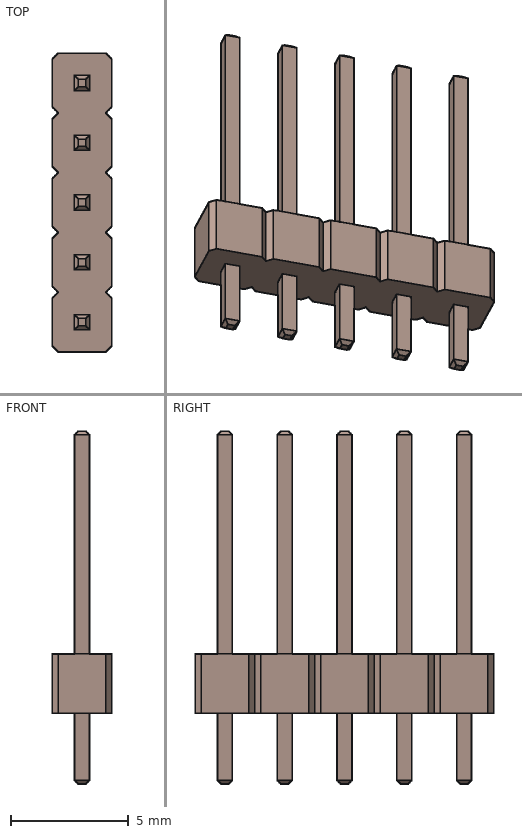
import cadquery as cq

pin_count = 5
row_length = 12.7
pitch = row_length / pin_count
housing_width = 2.54
housing_height = housing_width
corner_chamfer = 0.25

pin_length = 15.0
pin_side = 0.65
tip_chamfer = 0.16
pin_below_housing = 3.0


def make_cell():
    """Housing cell standing on Z = 0, with its vertical edges chamfered."""
    return (
        cq.Workplane("XY")
        .box(housing_width, pitch, housing_height, centered=(True, True, False))
        .edges("|Z")
        .chamfer(corner_chamfer)
    )


def make_pin():
    """Square pin along Z, tapered at both ends."""
    return (
        cq.Workplane("XY")
        .workplane(offset=-pin_below_housing)
        .box(pin_side, pin_side, pin_length, centered=(True, True, False))
        .faces("<Z or >Z")
        .edges()
        .chamfer(tip_chamfer)
    )


unit = make_cell().union(make_pin())
result = cq.Workplane("XY")
for index in range(pin_count):
    y_position = (index - (pin_count - 1) / 2) * pitch
    result = result.union(unit.translate((0, y_position, 0)))
result = result.clean()